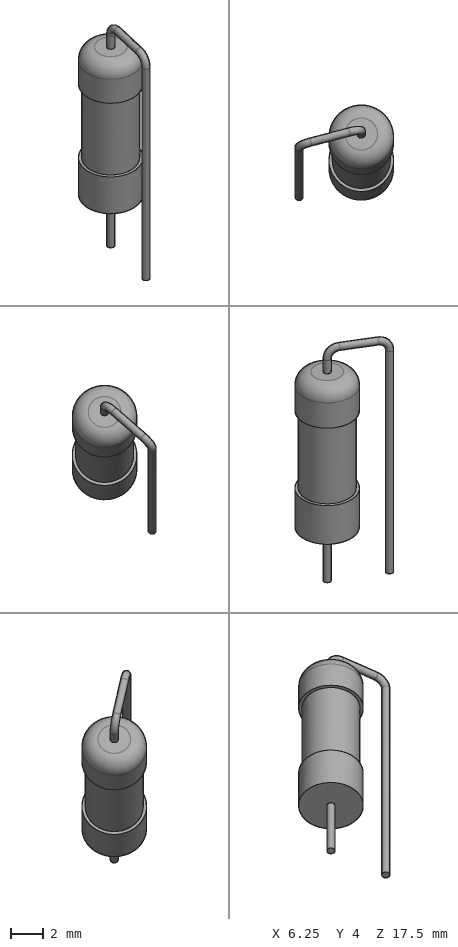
import cadquery as cq

total_height = 17.5
total_width = 6.25

cap_diameter = 4.0
barrel_diameter = 3.6
body_length = 11.5
cap_length = body_length / 4
top_rounding = 1.0

wire_diameter = 0.5
lower_lead_length = 4.0
bend_radius = 0.75

wire_radius = wire_diameter / 2
lead_pitch = total_width - cap_diameter / 2 - wire_radius
wire_bottom = -lower_lead_length
wire_peak = wire_bottom + total_height - wire_radius
bend_start = wire_peak - bend_radius


def cylinder(diameter, length, base_height):
    return cq.Workplane("XY").workplane(offset=base_height).circle(diameter / 2).extrude(length)


def make_body():
    bottom_cap = cylinder(cap_diameter, cap_length, 0)
    barrel = cylinder(barrel_diameter, body_length - 2 * cap_length, cap_length)
    top_cap = cylinder(cap_diameter, cap_length, body_length - cap_length)
    top_cap = top_cap.faces(">Z").edges().fillet(top_rounding)
    return bottom_cap.union(barrel).union(top_cap)


def make_lead():
    path = (
        cq.Workplane("XZ")
        .moveTo(0, wire_bottom)
        .lineTo(0, bend_start)
        .tangentArcPoint((bend_radius, wire_peak), relative=False)
        .lineTo(lead_pitch - bend_radius, wire_peak)
        .tangentArcPoint((lead_pitch, bend_start), relative=False)
        .lineTo(lead_pitch, wire_bottom)
    )
    return cq.Workplane("XY").workplane(offset=wire_bottom).circle(wire_radius).sweep(path)


result = make_body().union(make_lead())